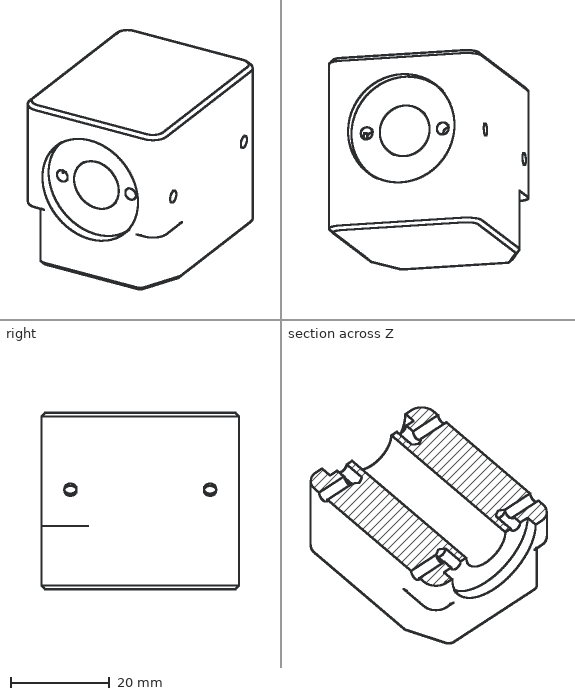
import cadquery as cq
import math

width = 32.0
length = 40.0
height = 35.7
corner_radius = 3.2
edge_chamfer = 0.8

cut_height = 12.8
cut_across = 4.2
cut_along = 9.0
cut_front_radius = 1.5
cut_side_radius = 2.0

bore_height = 20.1
bore_diameter = 10.5
recess_diameter = 22.4
recess_depth = 2.5

pin_diameter = 2.5
pin_offset = 8.0
side_pin_inset = 5.9
side_pin_y = length / 2 - side_pin_inset
drill_tip_angle = 118.0
pin_radius = pin_diameter / 2
drill_tip_length = pin_radius / math.tan(math.radians(drill_tip_angle / 2))
end_pin_depth = side_pin_inset + pin_radius
side_pin_depth = width / 2 - pin_offset - pin_radius


def upper_block():
    return (
        cq.Workplane("XY", origin=(0, 0, cut_height))
        .rect(width, length)
        .extrude(height - cut_height)
        .edges("|Z")
        .fillet(corner_radius)
        .faces(">Z")
        .chamfer(edge_chamfer)
    )


def lower_block():
    """Base with angled front corners, every vertical edge rounded."""
    half_width = width / 2
    half_length = length / 2
    outline = [
        (-half_width, half_length),
        (-half_width, cut_along - half_length),
        (cut_across - half_width, -half_length),
        (half_width - cut_across, -half_length),
        (half_width, cut_along - half_length),
        (half_width, half_length),
    ]
    block = cq.Workplane("XY").polyline(outline).close().extrude(cut_height)
    block = block.edges("|Z and >Y").fillet(corner_radius)
    block = block.edges("|Z and <Y").fillet(cut_front_radius)
    for side in (-1, 1):
        edge_middle = (side * half_width, cut_along - half_length, cut_height / 2)
        block = block.edges(cq.NearestToPointSelector(edge_middle)).fillet(cut_side_radius)
    return block.faces("<Z").chamfer(edge_chamfer)


def bore():
    plane = cq.Workplane("XZ", origin=(0, 0, bore_height))
    return plane.circle(bore_diameter / 2).extrude(length / 2, both=True)


def recess(end):
    """Round recess in the front (end = -1) or back (end = 1) face."""
    plane = cq.Workplane("XZ", origin=(0, end * length / 2, bore_height))
    return plane.circle(recess_diameter / 2).extrude(end * recess_depth)


def drilled_hole(start, direction, depth):
    """Pin hole of the given straight depth, ending in a conical drill tip."""
    start = cq.Vector(*start)
    direction = cq.Vector(*direction)
    shaft = cq.Solid.makeCylinder(pin_radius, depth, start, direction)
    tip = cq.Solid.makeCone(pin_radius, 0, drill_tip_length, start + direction * depth, direction)
    return shaft.fuse(tip)


result = upper_block().union(lower_block()).cut(bore())
for end in (-1, 1):
    result = result.cut(recess(end))
    for side in (-1, 1):
        end_start = (side * pin_offset, end * length / 2, bore_height)
        side_start = (side * width / 2, end * side_pin_y, bore_height)
        result = result.cut(drilled_hole(end_start, (0, -end, 0), end_pin_depth))
        result = result.cut(drilled_hole(side_start, (-side, 0, 0), side_pin_depth))